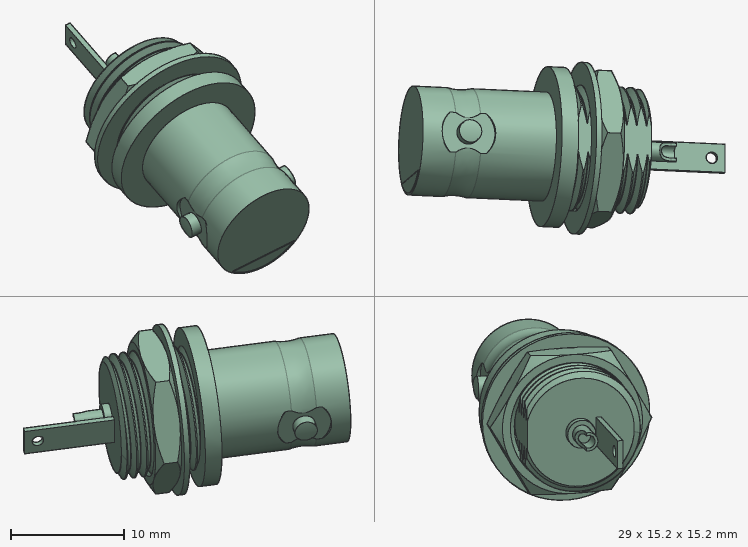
import cadquery as cq
import math


thread_length = 7.15
flange_thickness = 1.5
barrel_end = 20.75
mark_height = 0.1
overall_length = 28.95
tab_length = overall_length - barrel_end - mark_height

core_radius = 4.95
crest_radius = 5.6
thread_pitch = 0.9
ridge_base_width = 0.85
ridge_crest_width = 0.12
ridge_sink = 0.03
lead_in_angle = 30
core_seam_angle = 90
lead_in_turns = 2
run_out_turns = 1
bottom_crest_x = 0.65
flat_y = 4.78

flange_radius = 7.1
barrel_radius = 4.85
groove_start = 15.46
groove_width = 2.25
groove_depth = 0.15
lug_x = groove_start + groove_width / 2
lug_radius = 1.0
lug_tip_radius = 5.47
pocket_radius = 2.43
pocket_floor_y = 4.5
mark_radius = 4.65
mark_top_z = -3.3

tab_width = 2.55
tab_thickness = 0.5
tab_center_y = -1.7
tab_hole_diameter = 1.0
tab_hole_inset = 1.2

collar_radius = 1.27
collar_length = 0.7
contact_radius = 0.85
contact_length = 3.3
cup_radius = 0.58
cup_depth = 1.75
lip_y = 0.2
lip_length = 0.45
ramp_length = 1.2

nut_start = 2.8
nut_thickness = 2.35
nut_sides = 6
nut_across_flats = 12.75
nut_chamfer_angle = 30
nut_mouth_radius = 5.65
nut_end = nut_start + nut_thickness
washer_thickness = 0.5
washer_radius = 7.62


def rod(start, length, radius):
    """Cylinder about the X axis."""
    return cq.Workplane("YZ", origin=(start, 0, 0)).circle(radius).extrude(length)


def make_threaded_rod():
    """Core with a right-handed helical ridge, trimmed to a bevelled rear end."""
    ridge_start = bottom_crest_x - lead_in_turns * thread_pitch
    ridge_turns = math.ceil(thread_length / thread_pitch) + lead_in_turns + run_out_turns
    ridge_length = ridge_turns * thread_pitch

    ridge_reach = 2 * (crest_radius - core_radius)
    lead_in_length = ridge_reach * math.tan(math.radians(lead_in_angle))
    crest_half = ridge_crest_width / 2
    base_half = ridge_base_width / 2
    flank_slope = (base_half - crest_half) / (crest_radius - core_radius)
    root_half = base_half + ridge_sink * flank_slope
    root_radius = core_radius - ridge_sink

    helix = cq.Wire.makeHelix(thread_pitch, ridge_length, core_radius)
    ridge = (
        cq.Workplane("XZ")
        .moveTo(root_radius, -root_half)
        .lineTo(crest_radius, -crest_half)
        .lineTo(crest_radius, crest_half)
        .lineTo(root_radius, root_half)
        .close()
        .sweep(cq.Workplane(obj=helix), isFrenet=True)
        .rotate((0, 0, 0), (0, 1, 0), 90)
        .translate((ridge_start, 0, 0))
    )
    core = rod(ridge_start - thread_pitch, ridge_length + 2 * thread_pitch, core_radius)
    core = core.rotate((0, 0, 0), (1, 0, 0), core_seam_angle)
    envelope = (
        cq.Workplane("XY")
        .moveTo(0, 0)
        .lineTo(0, core_radius)
        .lineTo(lead_in_length, core_radius + ridge_reach)
        .lineTo(thread_length, core_radius + ridge_reach)
        .lineTo(thread_length, 0)
        .close()
        .revolve(360, (0, 0, 0), (1, 0, 0))
    )
    return core.union(ridge).intersect(envelope)


def make_barrel():
    """Barrel with a shallow arc groove around it."""
    groove_end = groove_start + groove_width
    return (
        cq.Workplane("XY")
        .moveTo(thread_length, 0)
        .lineTo(thread_length, barrel_radius)
        .lineTo(groove_start, barrel_radius)
        .threePointArc((lug_x, barrel_radius - groove_depth), (groove_end, barrel_radius))
        .lineTo(barrel_end, barrel_radius)
        .lineTo(barrel_end, 0)
        .close()
        .revolve(360, (0, 0, 0), (1, 0, 0))
    )


def cut_lug_pockets(body):
    """Round flat-floored pockets on the -Y and +Y sides of the barrel."""
    for side in (-1, 1):
        pocket = (
            cq.Workplane("XZ", origin=(lug_x, side * pocket_floor_y, 0))
            .circle(pocket_radius)
            .extrude(-side * barrel_radius)
        )
        body = body.cut(pocket)
    return body


def make_lugs():
    """Bayonet lugs across the barrel, with tips rounded about the X axis."""
    cross_pin = (
        cq.Workplane("XZ", origin=(lug_x, 0, 0))
        .circle(lug_radius)
        .extrude(flange_radius, both=True)
    )
    return cross_pin.intersect(rod(lug_x - pocket_radius, 2 * pocket_radius, lug_tip_radius))


def make_end_mark():
    """Raised segment at the bottom of the barrel's end face."""
    below_mark_top = cq.Workplane("XY").box(
        overall_length, 2 * mark_radius, mark_radius, centered=(False, True, False)
    ).translate((0, 0, mark_top_z - mark_radius))
    return rod(barrel_end, mark_height, mark_radius).intersect(below_mark_top)


def make_tab():
    """Flat ground tab with a wire hole near its free end."""
    tab = cq.Workplane("XY").box(
        tab_length, tab_thickness, tab_width, centered=(False, True, True)
    ).translate((-tab_length, tab_center_y, 0))
    hole = (
        cq.Workplane("XZ", origin=(tab_hole_inset - tab_length, tab_center_y, 0))
        .circle(tab_hole_diameter / 2)
        .extrude(tab_thickness, both=True)
    )
    return tab.cut(hole)


def make_housing(threaded_rod):
    """Flattened thread, flange, barrel with its lugs, and ground tab as one solid."""
    below_flat = cq.Workplane("XY").box(
        thread_length, 2 * flange_radius, 2 * flange_radius, centered=(False, False, True)
    ).translate((0, flat_y - 2 * flange_radius, 0))
    thread = threaded_rod.intersect(below_flat)
    flange = rod(thread_length, flange_thickness, flange_radius)
    barrel = cut_lug_pockets(make_barrel()).union(make_lugs()).union(make_end_mark())
    return barrel.union(flange).union(thread).union(make_tab())


def make_contact():
    """Collar and solder cup, the cup cut open on its +Y side."""
    tip_x = -contact_length
    contact = rod(tip_x, contact_length, contact_radius)
    contact = contact.union(rod(-collar_length, collar_length, collar_radius))
    opening = (
        cq.Workplane("XY")
        .moveTo(tip_x, lip_y)
        .lineTo(tip_x + lip_length, lip_y)
        .tangentArcPoint((tip_x + lip_length + ramp_length, contact_radius), relative=False)
        .lineTo(tip_x, contact_radius)
        .close()
        .extrude(contact_radius, both=True)
    )
    return contact.cut(opening).cut(rod(tip_x, cup_depth, cup_radius))


def make_nut(threaded_rod):
    """Hexagon nut, chamfered and countersunk on both faces and threaded to fit the housing."""
    face_radius = nut_across_flats / 2
    corner_radius = face_radius / math.cos(math.radians(180 / nut_sides))
    chamfer_length = (corner_radius - face_radius) * math.tan(math.radians(nut_chamfer_angle))
    hexagon = (
        cq.Workplane("YZ", origin=(nut_start, 0, 0))
        .polygon(nut_sides, 2 * corner_radius)
        .extrude(nut_thickness)
    )
    chamfered_blank = (
        cq.Workplane("XY")
        .moveTo(nut_start, 0)
        .lineTo(nut_start, face_radius)
        .lineTo(nut_start + chamfer_length, corner_radius)
        .lineTo(nut_end - chamfer_length, corner_radius)
        .lineTo(nut_end, face_radius)
        .lineTo(nut_end, 0)
        .close()
        .revolve(360, (0, 0, 0), (1, 0, 0))
    )
    nut = hexagon.intersect(chamfered_blank).cut(threaded_rod)
    for face_x, inward in ((nut_start, 1), (nut_end, -1)):
        countersink = (
            cq.Workplane("XY")
            .moveTo(face_x, 0)
            .lineTo(face_x, nut_mouth_radius)
            .lineTo(face_x + inward * nut_mouth_radius, 0)
            .close()
            .revolve(360, (0, 0, 0), (1, 0, 0))
        )
        nut = nut.cut(countersink)
    return nut


def make_washer():
    """Flat washer against the nut, clearing the thread crests."""
    disc = rod(nut_end, washer_thickness, washer_radius)
    return disc.cut(rod(nut_end, washer_thickness, crest_radius))


threaded_rod = make_threaded_rod()
housing = make_housing(threaded_rod)
contact = make_contact()
nut = make_nut(threaded_rod)
washer = make_washer()

result = cq.Compound.makeCompound([housing.val(), contact.val(), nut.val(), washer.val()])